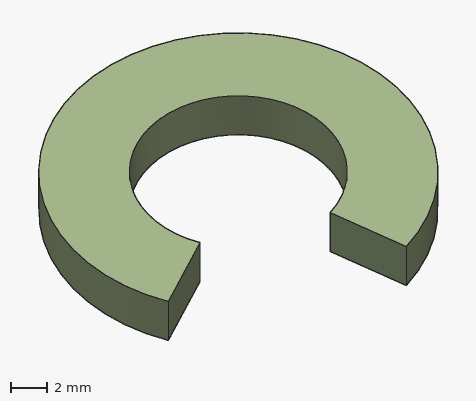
import cadquery as cq
import math

outer_radius = 11.0
inner_radius = 6.0
thickness = 3.0
half_opening = math.radians(38.9)


def end_point(radius, side):
    """Corner of an end face; side is +1 for the +Y end, -1 for the -Y end."""
    return (radius * math.cos(half_opening), side * radius * math.sin(half_opening))


result = (
    cq.Workplane("XY")
    .moveTo(*end_point(outer_radius, 1))
    .threePointArc((-outer_radius, 0), end_point(outer_radius, -1))
    .lineTo(*end_point(inner_radius, -1))
    .threePointArc((-inner_radius, 0), end_point(inner_radius, 1))
    .close()
    .extrude(thickness)
)